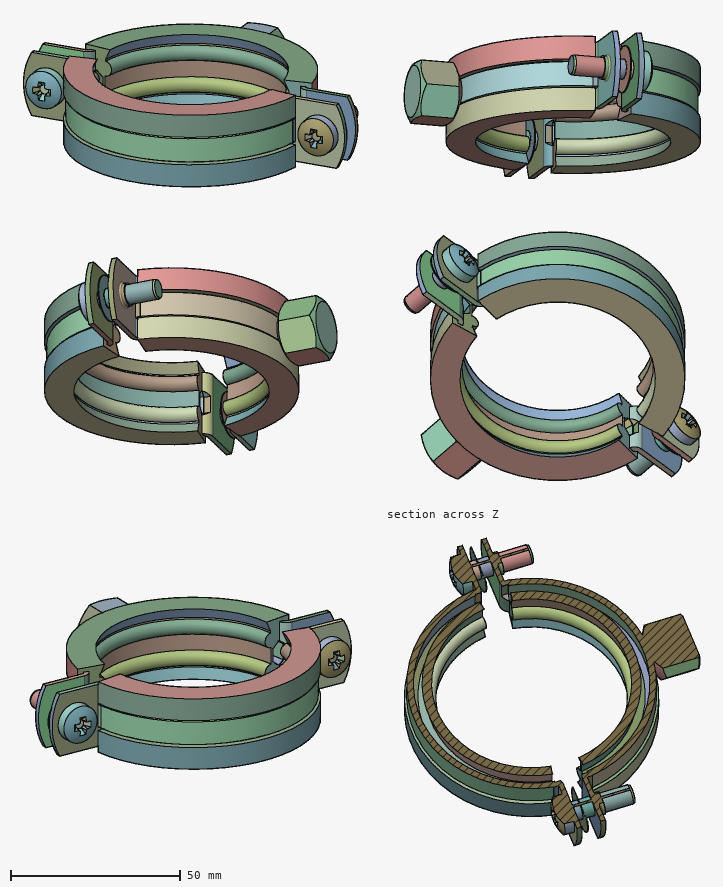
import cadquery as cq
import math

CLAMP_WIDTH = 22.7
HALF_WIDTH = CLAMP_WIDTH / 2
LINING_OUTER_R = 37.6
LIP_R = 28.85
RIDGE_Z = 5.05
RIDGE_R = 2.4
RIDGE_TIP_R = 28.25
RIDGE_CENTER_R = RIDGE_TIP_R + RIDGE_R
LIP_ROOT_Z = 8.0
LIP_ROOT_R = 30.4
WEB_INNER_R = 30.6
WEB_THICKNESS = 0.8
WEB_OUTER_R = WEB_INNER_R + WEB_THICKNESS
END_ANGLE = 8.5

SHEET = 1.6
BAND_INNER_R = 33.6
BAND_OUTER_R = BAND_INNER_R + SHEET
BEAD_HEIGHT = 1.75
BEAD_OUTER_R = BAND_OUTER_R + BEAD_HEIGHT
BEAD_INNER_R = BAND_INNER_R + BEAD_HEIGHT
BEAD_TOP_HALF = 3.65
BEAD_FOOT_HALF = 4.34
CAVITY_WEB_HALF = 2.1
CAVITY_BAND_HALF = 3.9
CAVITY_BEAD_HALF = 2.6

LUG_GAP = 5.86
LUG_Y = LUG_GAP / 2
LUG_END_X = 52.7
LUG_HALF_WIDTH = 10.0
LUG_END_R = 20.0
BEND_OUTER_R = 3.15
BEND_INNER_R = BEND_OUTER_R - SHEET
BEND_X = 36.55
BEND_Y = LUG_Y + BEND_OUTER_R

SCREW_X = 44.65
SCREW_R = 6.0 / 2
SCREW_TIP_R = 5.5 / 2
SCREW_TIP_Y = 15.6
SCREW_TIP_CHAMFER = 0.65
HEAD_R = 5.95
HEAD_CROWN_R = 5.85
HEAD_BASE_Y = -(LUG_Y + SHEET)
HEAD_CROWN_Y = -7.5
HEAD_TOP_Y = -9.25
COLLAR_R = 7.0 / 2
COLLAR_TOP_Y = 6.05
COLLAR_FILLET = 0.5
WASHER_R = 14.0 / 2
WASHER_THICKNESS = 0.3
WASHER_Y = -0.75
RECESS_SPAN = 6.5
RECESS_ARM_WIDTH = 2.2
RECESS_FLOOR_Y = -7.0
RECESS_FLOOR_SPAN = 2.7
RECESS_FLOOR_ARM_WIDTH = 1.2
RECESS_CORE_R = 1.8
RECESS_CORE_FLOOR_R = 1.4

NUT_FLATS = 17.0
NUT_CORNERS = NUT_FLATS / math.cos(math.pi / 6)
NUT_TOP_Y = 50.1
NUT_BASE_Y = 36.5
NUT_TOP_FACE_R = 7.75
NUT_BASE_FACE_R = 5.6
NUT_CHAMFER_ANGLE = 30.0


def cavity_section():
    """Hollow between the lining web and the bead, as (radius, z) points."""
    upper_side = [
        (WEB_OUTER_R, CAVITY_WEB_HALF),
        (BAND_INNER_R, CAVITY_BAND_HALF),
        (BEAD_INNER_R, CAVITY_BEAD_HALF),
    ]
    mirrored = [(r, -z) for r, z in reversed(upper_side)]
    return cq.Workplane("XZ").polyline(upper_side + mirrored).close()


def bead_section():
    """Outer trapezoid of the bead, down to its inner wall."""
    return (
        cq.Workplane("XZ")
        .moveTo(BEAD_INNER_R, BEAD_FOOT_HALF)
        .lineTo(BEAD_OUTER_R, BEAD_TOP_HALF)
        .lineTo(BEAD_OUTER_R, -BEAD_TOP_HALF)
        .lineTo(BEAD_INNER_R, -BEAD_FOOT_HALF)
        .close()
    )


def ring_section():
    """Lined band section: lips, two round ridges and web inside, flaps and bead outside."""
    web_edge_z = RIDGE_Z - math.sqrt(RIDGE_R**2 - (WEB_INNER_R - RIDGE_CENTER_R) ** 2)
    groove_z = RIDGE_Z + math.sqrt(RIDGE_R**2 - (LIP_ROOT_R - RIDGE_CENTER_R) ** 2)
    return (
        cq.Workplane("XZ")
        .moveTo(LIP_R, HALF_WIDTH)
        .lineTo(LIP_ROOT_R, LIP_ROOT_Z)
        .lineTo(LIP_ROOT_R, groove_z)
        .threePointArc((RIDGE_TIP_R, RIDGE_Z), (WEB_INNER_R, web_edge_z))
        .lineTo(WEB_INNER_R, -web_edge_z)
        .threePointArc((RIDGE_TIP_R, -RIDGE_Z), (LIP_ROOT_R, -groove_z))
        .lineTo(LIP_ROOT_R, -LIP_ROOT_Z)
        .lineTo(LIP_R, -HALF_WIDTH)
        .lineTo(LINING_OUTER_R, -HALF_WIDTH)
        .lineTo(LINING_OUTER_R, -BEAD_FOOT_HALF)
        .lineTo(BEAD_INNER_R, -BEAD_FOOT_HALF)
        .lineTo(BEAD_OUTER_R, -BEAD_TOP_HALF)
        .lineTo(BEAD_OUTER_R, BEAD_TOP_HALF)
        .lineTo(BEAD_INNER_R, BEAD_FOOT_HALF)
        .lineTo(LINING_OUTER_R, BEAD_FOOT_HALF)
        .lineTo(LINING_OUTER_R, HALF_WIDTH)
        .close()
    )


def revolve_half(section):
    """Sweep a section about Z over the +Y half, between the two end faces."""
    sweep = 180 - 2 * END_ANGLE
    half = section.revolve(sweep, (0, 0, 0), (0, 1, 0))
    return half.rotate((0, 0, 0), (0, 0, 1), END_ANGLE)


def lug():
    """Flat ear and its bend into the band, on the +X end of the +Y half."""
    corner_x = LUG_END_X - LUG_END_R + math.sqrt(LUG_END_R**2 - LUG_HALF_WIDTH**2)
    ear = (
        cq.Workplane("XZ", origin=(0, LUG_Y + SHEET, 0))
        .moveTo(BEND_X, LUG_HALF_WIDTH)
        .lineTo(corner_x, LUG_HALF_WIDTH)
        .threePointArc((LUG_END_X, 0), (corner_x, -LUG_HALF_WIDTH))
        .lineTo(BEND_X, -LUG_HALF_WIDTH)
        .close()
        .extrude(SHEET)
    )
    diagonal = math.sqrt(0.5)
    bend = (
        cq.Workplane("XY", origin=(BEND_X, BEND_Y, -LUG_HALF_WIDTH))
        .moveTo(0, -BEND_OUTER_R)
        .threePointArc((-BEND_OUTER_R * diagonal, -BEND_OUTER_R * diagonal), (-BEND_OUTER_R, 0))
        .lineTo(-BEND_INNER_R, 0)
        .threePointArc((-BEND_INNER_R * diagonal, -BEND_INNER_R * diagonal), (0, -BEND_INNER_R))
        .close()
        .extrude(2 * LUG_HALF_WIDTH)
    )
    bead_shift = BEAD_OUTER_R * (math.cos(math.radians(END_ANGLE)) - 1)
    bead_end = bead_section().extrude(-BEND_Y)
    above_ear = (
        cq.Workplane("XY")
        .box(2 * LINING_OUTER_R, BEND_Y, CLAMP_WIDTH, centered=(True, False, True))
        .translate((0, LUG_Y + SHEET / 2, 0))
    )
    bead_end = bead_end.intersect(above_ear).translate((bead_shift, 0, 0))
    bead_hollow = cavity_section().extrude(-BEND_Y)
    return ear.union(bend).union(bead_end).cut(bead_hollow)


def clamp_half():
    """Half ring on the +Y side with a lug at each end."""
    right_lug = lug()
    half = revolve_half(ring_section()).union(right_lug).union(right_lug.mirror("YZ"))
    return half.cut(revolve_half(cavity_section()))


def screw_recess():
    """Cross recess: two crossed arms and a round core, all narrowing towards the floor."""
    depth = RECESS_FLOOR_Y - HEAD_TOP_Y
    floor = cq.Workplane("XZ", origin=(0, RECESS_FLOOR_Y, 0))
    arm = (
        floor.rect(RECESS_FLOOR_SPAN, RECESS_FLOOR_ARM_WIDTH)
        .workplane(offset=depth)
        .rect(RECESS_SPAN, RECESS_ARM_WIDTH)
        .loft()
    )
    core = (
        floor.circle(RECESS_CORE_FLOOR_R)
        .workplane(offset=depth)
        .circle(RECESS_CORE_R)
        .loft()
    )
    return core.union(arm).union(arm.rotate((0, 0, 0), (0, 1, 0), 90))


def screw():
    """Pan-head screw along Y with its washer and the lug collar, centred on the Y axis."""
    dome_h = HEAD_CROWN_Y - HEAD_TOP_Y
    dome_r = (HEAD_CROWN_R**2 + dome_h**2) / (2 * dome_h)
    mid_r = HEAD_CROWN_R / 2
    mid_y = HEAD_TOP_Y + dome_r - math.sqrt(dome_r**2 - mid_r**2)
    lug_top_y = LUG_Y + SHEET
    washer_half = WASHER_THICKNESS / 2
    fillet_offset = COLLAR_FILLET * (1 - math.sqrt(0.5))
    body = (
        cq.Workplane("XY")
        .moveTo(0, HEAD_TOP_Y)
        .threePointArc((mid_r, mid_y), (HEAD_CROWN_R, HEAD_CROWN_Y))
        .lineTo(HEAD_R, HEAD_BASE_Y)
        .lineTo(SCREW_R, HEAD_BASE_Y)
        .lineTo(SCREW_R, WASHER_Y - washer_half)
        .lineTo(WASHER_R, WASHER_Y - washer_half)
        .lineTo(WASHER_R, WASHER_Y + washer_half)
        .lineTo(SCREW_R, WASHER_Y + washer_half)
        .lineTo(SCREW_R, lug_top_y)
        .lineTo(COLLAR_R + COLLAR_FILLET, lug_top_y)
        .threePointArc(
            (COLLAR_R + fillet_offset, lug_top_y + fillet_offset),
            (COLLAR_R, lug_top_y + COLLAR_FILLET),
        )
        .lineTo(COLLAR_R, COLLAR_TOP_Y)
        .lineTo(SCREW_R, COLLAR_TOP_Y)
        .lineTo(SCREW_R, SCREW_TIP_Y - SCREW_TIP_CHAMFER)
        .lineTo(SCREW_TIP_R, SCREW_TIP_Y)
        .lineTo(0, SCREW_TIP_Y)
        .close()
        .revolve(360, (0, 0, 0), (0, 1, 0))
    )
    return body.cut(screw_recess())


def nut():
    """Hexagon connection nut seated on the bead at +Y, coned at both ends."""
    length = NUT_TOP_Y - NUT_BASE_Y
    hexagon = cq.Workplane("XZ", origin=(0, NUT_TOP_Y, 0)).polygon(6, NUT_CORNERS).extrude(length)
    slope = math.tan(math.radians(NUT_CHAMFER_ANGLE))
    corner_r = NUT_CORNERS / 2
    cones = (
        cq.Workplane("XY")
        .moveTo(0, NUT_BASE_Y)
        .lineTo(NUT_BASE_FACE_R, NUT_BASE_Y)
        .lineTo(corner_r, NUT_BASE_Y + (corner_r - NUT_BASE_FACE_R) * slope)
        .lineTo(corner_r, NUT_TOP_Y - (corner_r - NUT_TOP_FACE_R) * slope)
        .lineTo(NUT_TOP_FACE_R, NUT_TOP_Y)
        .lineTo(0, NUT_TOP_Y)
        .close()
        .revolve(360, (0, 0, 0), (0, 1, 0))
    )
    return hexagon.intersect(cones)


upper_half = clamp_half()
lower_half = upper_half.mirror("XZ")
result = upper_half.union(lower_half).union(nut())
for side in (-1, 1):
    result = result.union(screw().translate((side * SCREW_X, 0, 0)))